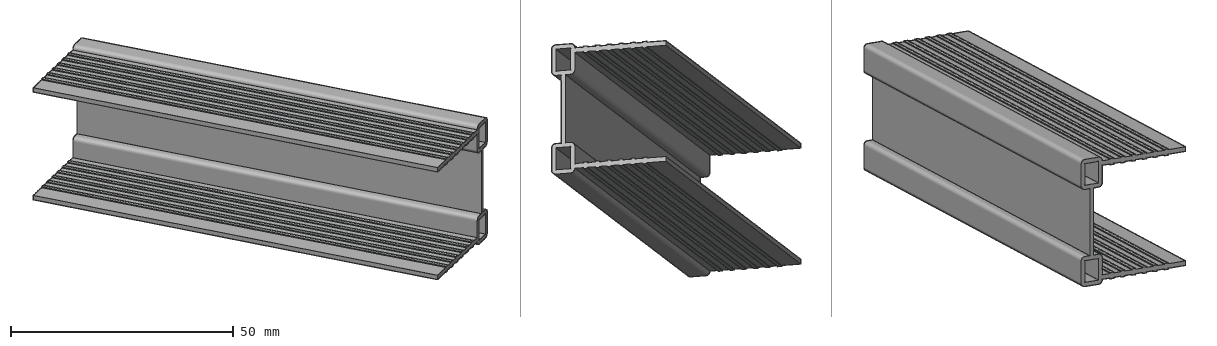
import cadquery as cq

length = 100.0
depth = 27.0
height = 30.0

wall = 1.0

tube_depth = 5.5
tube_height = 7.1
tube_corner_radius = 1.0

flange_thickness = 1.1
flange_inset = 1.0

rib_count = 6
rib_pitch = 2.8
rib_width = 1.0
rib_height = 0.2
first_rib_to_tip = 5.0

back = depth / 2
tip = -depth / 2
top = height / 2
tube_centre_y = back - tube_depth / 2
tube_centre_z = top - tube_height / 2
flange_centre_z = top - flange_inset - flange_thickness / 2


def bar(size_y, size_z, centre_y, centre_z):
    """Rectangular bar running the full length along X."""
    return cq.Workplane("XY").box(length, size_y, size_z).translate((0, centre_y, centre_z))


def make_tube():
    """Upper tube, solid, with rounded outer corners."""
    return bar(tube_depth, tube_height, tube_centre_y, tube_centre_z).edges("|X").fillet(tube_corner_radius)


def make_bore():
    """Sharp-cornered opening through the upper tube."""
    bore_depth = tube_depth - 2 * wall
    bore_height = tube_height - 2 * wall
    return bar(bore_depth, bore_height, tube_centre_y, tube_centre_z)


def make_flange():
    """Upper flange, running from its free tip into the tube's front wall."""
    root = back - tube_depth + wall / 2
    return bar(root - tip, flange_thickness, (root + tip) / 2, flange_centre_z)


def make_rib(centre_y):
    """Square rib passing through the flange and standing proud of both faces."""
    return bar(rib_width, flange_thickness + 2 * rib_height, centre_y, flange_centre_z)


def make_upper_half():
    """Upper tube with its ribbed flange."""
    half = make_tube().union(make_flange())
    for index in range(rib_count):
        half = half.union(make_rib(tip + first_rib_to_tip + index * rib_pitch))
    return half.cut(make_bore())


def make_web():
    """Thin upright web, ending inside the walls of both tubes."""
    web_height = height - 2 * tube_height + wall
    return bar(wall, web_height, tube_centre_y, 0)


upper_half = make_upper_half()
lower_half = upper_half.mirror("XY")
result = upper_half.union(lower_half).union(make_web())